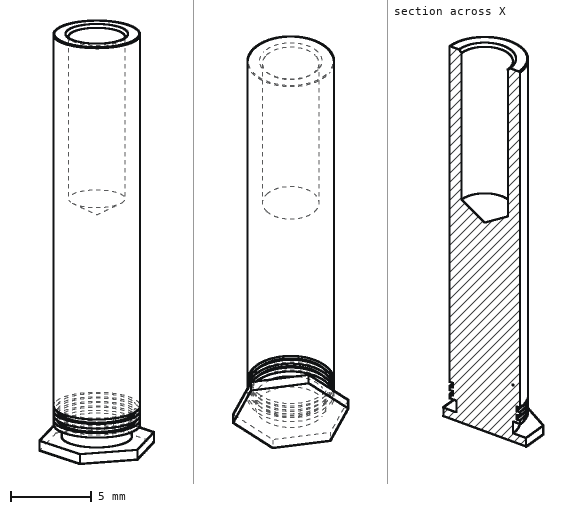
import cadquery as cq
import math

total_length = 27.0
head_across_flats = 6.35
head_across_corners = head_across_flats / math.cos(math.radians(30))
head_height = 0.65

body_diameter = 5.4
neck_diameter = 4.37
groove_diameter = 4.89
body_edge_chamfer = 0.05

neck_top = 1.45
groove_width = 0.3
ring_width = 0.3
lower_groove_base = neck_top + ring_width
upper_groove_base = lower_groove_base + groove_width + ring_width

bore_diameter = 3.5
bore_depth = 10.8
bore_edge_chamfer = 0.2
drill_point_angle = 118.0


def cylinder(diameter, base, top):
    return cq.Workplane("XY").workplane(offset=base).circle(diameter / 2).extrude(top - base)


def make_head():
    return cq.Workplane("XY").polygon(6, head_across_corners).extrude(head_height)


def make_shank():
    neck = cylinder(neck_diameter, head_height, neck_top)
    body = cylinder(body_diameter, neck_top, total_length).faces(">Z").edges().chamfer(body_edge_chamfer)
    for base in (lower_groove_base, upper_groove_base):
        top = base + groove_width
        groove = cylinder(body_diameter + 0.27, base, top).cut(cylinder(groove_diameter, base, top))
        body = body.cut(groove)
    return neck.union(body)


def make_bore():
    """Drilled hole with a conical bottom and a 45 degree countersink at its mouth."""
    radius = bore_diameter / 2
    floor = total_length - bore_depth
    point_depth = radius / math.tan(math.radians(drill_point_angle / 2))
    return (
        cq.Workplane("XZ")
        .moveTo(0, floor - point_depth)
        .lineTo(radius, floor)
        .lineTo(radius, total_length - bore_edge_chamfer)
        .lineTo(radius + bore_edge_chamfer, total_length)
        .lineTo(0, total_length)
        .close()
        .revolve(360, (0, 0, 0), (0, 1, 0))
    )


result = make_head().union(make_shank()).cut(make_bore())